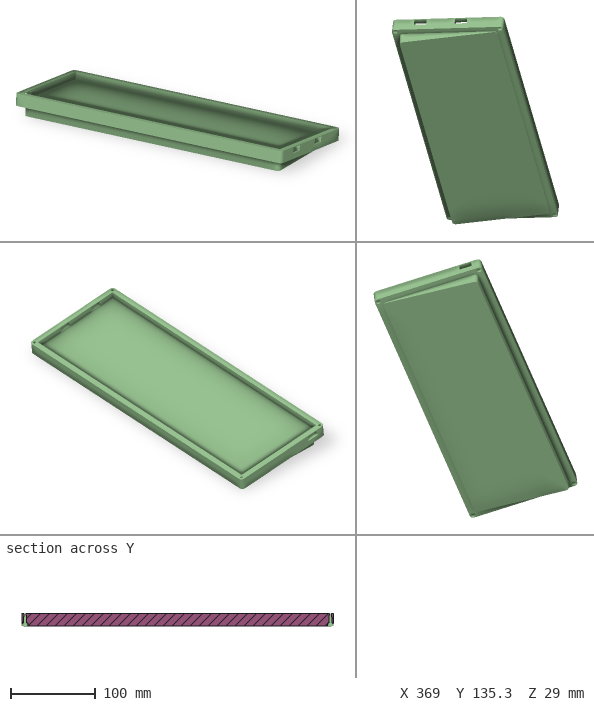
import cadquery as cq
import math

TRAY_LENGTH = 369.0
TRAY_WIDTH = 134.5
TRAY_HEIGHT = 15.0
TILT_DEGREES = 6.0
CORNER_RADIUS = 4.5

END_WALL = 7.0
SIDE_WALL = 7.0
CAVITY_DEPTH = 9.0

SCREW_DIAMETER = 3.4
HEAD_DIAMETER = 6.0
HEAD_DEPTH = 3.7
SCREW_INSET = 4.0

WINDOW_WIDTH = 14.8
WINDOW_HEIGHT = 7.0
WINDOW_TOP_GAP = 1.0
LEFT_WINDOWS = [19.0]
RIGHT_WINDOWS = [34.0, 83.0]

FOOT_INSET = 8.0
FOOT_RADIUS = 4.5

TILT = math.radians(TILT_DEGREES)


def tilted(body):
    """Tip a body about the low bottom edge, which lies on the X axis."""
    return body.rotate((0, 0, 0), (1, 0, 0), -TILT_DEGREES)


def block(length, width, height):
    """Block centred on the level tray, standing on its bottom plane."""
    return (
        cq.Workplane("XY")
        .center(0, -TRAY_WIDTH / 2)
        .rect(length, width)
        .extrude(height)
    )


def end_window(side, distance):
    """Cutter through one end wall; side is -1 for -X or +1 for +X."""
    z_middle = TRAY_HEIGHT - WINDOW_TOP_GAP - WINDOW_HEIGHT / 2
    x_middle = side * (TRAY_LENGTH - END_WALL) / 2
    return (
        cq.Workplane("XY")
        .box(2 * END_WALL, WINDOW_WIDTH, WINDOW_HEIGHT)
        .translate((x_middle, distance - TRAY_WIDTH, z_middle))
    )


def screw_cutters(diameter, depth):
    """Four corner cylinders rising from the tray bottom."""
    return (
        cq.Workplane("XY")
        .center(0, -TRAY_WIDTH / 2)
        .rect(TRAY_LENGTH - 2 * SCREW_INSET, TRAY_WIDTH - 2 * SCREW_INSET, forConstruction=True)
        .vertices()
        .circle(diameter / 2)
        .extrude(depth)
    )


def make_tray():
    tray = block(TRAY_LENGTH, TRAY_WIDTH, TRAY_HEIGHT).edges("|Z").fillet(CORNER_RADIUS)
    cavity = block(TRAY_LENGTH - 2 * END_WALL, TRAY_WIDTH - 2 * SIDE_WALL, CAVITY_DEPTH)
    tray = tray.cut(cavity.translate((0, 0, TRAY_HEIGHT - CAVITY_DEPTH)))
    tray = tray.cut(screw_cutters(SCREW_DIAMETER, TRAY_HEIGHT))
    tray = tray.cut(screw_cutters(HEAD_DIAMETER, HEAD_DEPTH))
    for distance in LEFT_WINDOWS:
        tray = tray.cut(end_window(-1, distance))
    for distance in RIGHT_WINDOWS:
        tray = tray.cut(end_window(1, distance))
    return tilted(tray)


def make_foot():
    """Wedge with upright rounded walls, trimmed by the tilted tray bottom."""
    foot_length = TRAY_LENGTH - 2 * FOOT_INSET
    foot_depth = TRAY_WIDTH * math.cos(TILT) - 2 * FOOT_INSET
    rise = TRAY_WIDTH * math.sin(TILT)
    foot = (
        cq.Workplane("XY")
        .center(0, -FOOT_INSET - foot_depth / 2)
        .rect(foot_length, foot_depth)
        .extrude(rise)
        .edges("|Z")
        .fillet(FOOT_RADIUS)
    )
    space_above = tilted(block(TRAY_LENGTH, 2 * TRAY_WIDTH, 2 * rise))
    return foot.cut(space_above)


result = make_tray().union(make_foot())